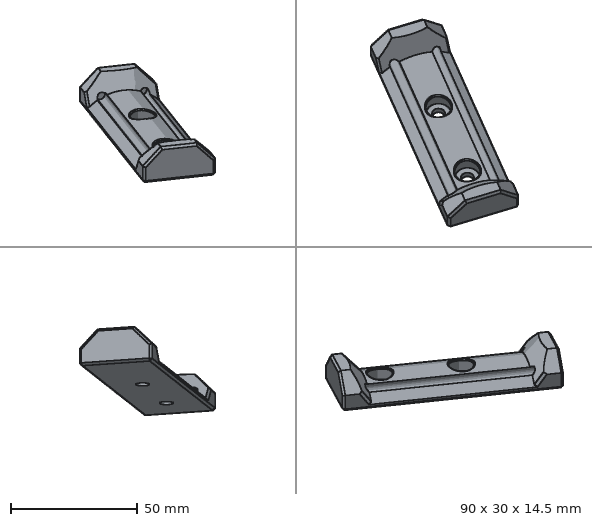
import cadquery as cq
import math

length = 90.0
width = 30.0
height = 14.5
shoulder = 7.5
edge_chamfer = 1.0

saddle_radius = 21.0
crest_height = 8.2
saddle_length = 66.4
wall_run = 5.9

relief_depth = 0.8
relief_setback = 1.2

groove_diameter = 4.3
groove_offset = 8.6
groove_height = 5.6
groove_length = 75.6

hole_positions = (-6.8, 26.4)
hole_diameter = 5.3
bore_diameter = 10.0
bore_floor = 2.7
rim_chamfer = 0.5

half_width = width / 2
half_saddle = saddle_length / 2
axis_height = crest_height - saddle_radius
wall_slope = wall_run / (height - crest_height)


def floor_height(y):
    """Height of the convex saddle floor at a distance y from the middle."""
    return axis_height + math.sqrt(saddle_radius**2 - y**2)


def make_block():
    profile = [
        (-half_width, 0),
        (half_width, 0),
        (half_width, height - shoulder),
        (half_width - shoulder, height),
        (shoulder - half_width, height),
        (-half_width, height - shoulder),
    ]
    block = cq.Workplane("YZ").polyline(profile).close().extrude(length / 2, both=True)
    return block.faces("<X or >X or <Z").edges().chamfer(edge_chamfer)


def make_saddle_cutter():
    """Ring with the floor as its inner cylinder and cones as its ends."""
    outer_radius = saddle_radius + height
    half_outer = half_saddle + (outer_radius - saddle_radius) * wall_slope
    inner_z = axis_height + saddle_radius
    outer_z = axis_height + outer_radius
    section = [
        (-half_saddle, inner_z),
        (half_saddle, inner_z),
        (half_outer, outer_z),
        (-half_outer, outer_z),
    ]
    return (
        cq.Workplane("XZ")
        .polyline(section)
        .close()
        .revolve(360, (0, axis_height, 0), (1, axis_height, 0))
    )


def relief_section(y, half_bottom):
    """Trapezoid standing on the saddle floor, in the plane at y."""
    bottom = floor_height(y)
    half_top = half_bottom + height * relief_slope
    points = [
        (-half_bottom, bottom),
        (half_bottom, bottom),
        (half_top, bottom + height),
        (-half_top, bottom + height),
    ]
    return cq.Wire.makePolygon([cq.Vector(x, y, z) for x, z in points], close=True)


def make_relief_cutter():
    inner = relief_section(half_width - relief_depth, half_saddle)
    outer = relief_section(half_width, half_saddle + relief_setback)
    wedge = cq.Workplane(cq.Solid.makeLoft([inner, outer], True))
    floor_core = (
        cq.Workplane("YZ")
        .center(0, axis_height)
        .circle(saddle_radius)
        .extrude(length / 2, both=True)
    )
    return wedge.cut(floor_core)


def make_groove_cutter(y):
    """Round bar along X that runs a little way into both conical walls."""
    start = (-groove_length / 2, y, groove_height)
    return cq.Workplane("YZ", origin=start).circle(groove_diameter / 2).extrude(groove_length)


def cut_hole(body, x):
    """Through hole and counterbore, with a chamfer along the curved rim of the bore."""
    hole = cq.Workplane("XY").center(x, 0).circle(hole_diameter / 2).extrude(height)
    bore = (
        cq.Workplane("XY", origin=(x, 0, bore_floor))
        .circle(bore_diameter / 2)
        .extrude(height)
    )
    body = body.cut(hole).cut(bore)
    rim_zone = cq.selectors.BoxSelector(
        (x - bore_diameter / 4, -bore_diameter / 4, floor_height(bore_diameter / 2)),
        (x + bore_diameter / 4, bore_diameter / 4, crest_height),
    )
    return body.edges(rim_zone).chamfer(rim_chamfer)


relief_inner_y = half_width - relief_depth
wall_inner_z = height - shoulder + relief_depth
wall_radius = math.hypot(relief_inner_y, wall_inner_z - axis_height)
relief_run = (wall_radius - saddle_radius) * wall_slope
relief_slope = relief_run / (wall_inner_z - floor_height(relief_inner_y))

relief = make_relief_cutter()
result = make_block().cut(make_saddle_cutter())
result = result.cut(relief).cut(relief.mirror("XZ"))
for groove_y in (-groove_offset, groove_offset):
    result = result.cut(make_groove_cutter(groove_y))
for hole_x in hole_positions:
    result = cut_hole(result, hole_x)